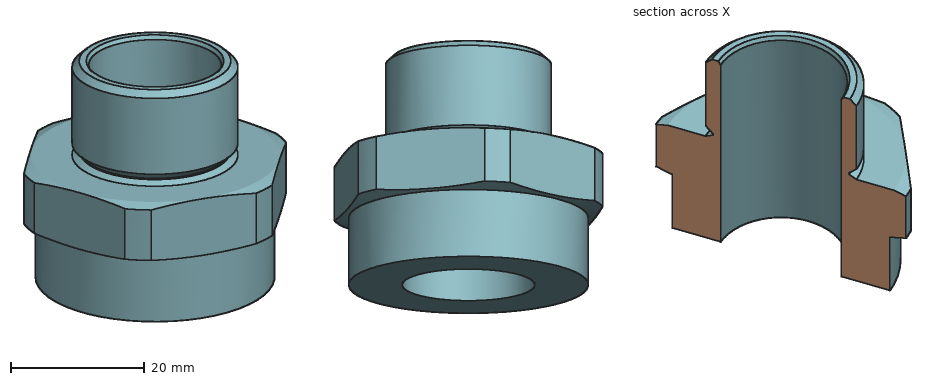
import cadquery as cq
import math

hex_bottom = 10.35
hex_top = 19.75
total_height = 35.0

across_flats = 37.6
corner_radius = 20.65
bevel_angle = 15.0
top_bevel_radius = 18.73

collar_radius = 18.02
spigot_radius = 12.5
spigot_chamfer_width = 1.07
spigot_chamfer_height = 1.0
bore_radius = 9.95
mouth_radius = 10.35
mouth_depth = 0.6

neck_radius = 11.3
neck_bottom = 20.35
neck_top = 20.55
groove_top = 21.7


def turn(profile):
    """Revolve a closed (radius, height) outline about the Z axis."""
    return cq.Workplane("XZ").polyline(profile).close().revolve(360, (0, 0, 0), (0, 1, 0))


def bevel_drop(inner_radius):
    """Height lost by a bevel running from inner_radius out to the rounded corners."""
    return (corner_radius - inner_radius) * math.tan(math.radians(bevel_angle))


def make_hexagon():
    """Hexagonal prism trimmed by a cylinder with conical bevels at both ends."""
    across_corners = across_flats / math.cos(math.radians(30))
    prism = (
        cq.Workplane("XY")
        .workplane(offset=hex_bottom)
        .polygon(6, across_corners)
        .extrude(hex_top - hex_bottom)
        .rotate((0, 0, 0), (0, 0, 1), 30)
    )
    envelope = turn([
        (0, hex_bottom),
        (collar_radius, hex_bottom),
        (corner_radius, hex_bottom + bevel_drop(collar_radius)),
        (corner_radius, hex_top - bevel_drop(top_bevel_radius)),
        (top_bevel_radius, hex_top),
        (0, hex_top),
    ])
    return prism.intersect(envelope)


def make_spigot():
    """Upper spigot with its chamfered end and the relief groove at its root."""
    return turn([
        (0, hex_top),
        (spigot_radius, hex_top),
        (neck_radius, neck_bottom),
        (neck_radius, neck_top),
        (spigot_radius, groove_top),
        (spigot_radius, total_height - spigot_chamfer_height),
        (spigot_radius - spigot_chamfer_width, total_height),
        (0, total_height),
    ])


def make_bore():
    """Through bore that widens conically at the top mouth."""
    return turn([
        (0, 0),
        (bore_radius, 0),
        (bore_radius, total_height - mouth_depth),
        (mouth_radius, total_height),
        (0, total_height),
    ])


collar = cq.Workplane("XY").circle(collar_radius).extrude(hex_bottom)
result = collar.union(make_hexagon()).union(make_spigot()).cut(make_bore())